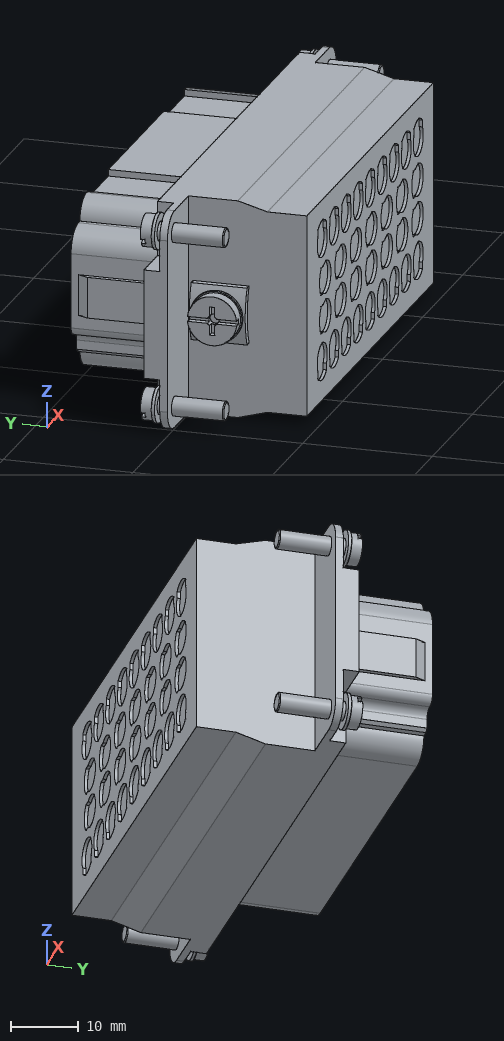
import cadquery as cq
import math


flange_length = 84.5
height = 33.8
flange_corner = 3.55
flange_front = 18.25
flange_back = 21.9
body_length = 63.4
terminal_height = 31.3
taper_start = 6.1
taper_end = 10.65

recess_length = 6.85
recess_height = 8.45
recess_floor = 19.4

block_back = 36.2
block_half_length = 32.45
block_half_height = 13.35
end_round = 3.6
corner_round = 3.4
corner_center_x = 24.7
ledge_x = 24.2
side_drop = 1.0
center_half_length = 13.9
wave_start = -5.2
wave_depth = 2.8
wave_radius = wave_depth / 2
foot_bevel = 0.5

key_height = 6.3
key_reach = 0.8
key_back = 35.0
key_slope = 1.6

pocket_diameter = 5.0
pocket_tab_width = 4.2
pocket_tab_reach = 3.2
pocket_tab_bulge = 0.85
pocket_depth = 0.5
last_pocket_x = 24.0
outer_row_z = 9.2
outer_row_count = 9
outer_row_pitch = 2 * last_pocket_x / (outer_row_count - 1)
inner_row_spacing = 6.0
inner_row_z = inner_row_spacing / 2
inner_row_count = 7
inner_row_pitch = 7.7

screw_x = 38.8
screw_z = 13.5
screw_diameter = 2.95
screw_tip_y = 10.2
screw_tip_chamfer = 0.2
screw_head_diameter = 5.0
screw_head_back = 22.7
screw_washer_diameter = 5.6
washer_thickness = 0.5
screw_washer_front = 20.45
screw_slot_width = 0.85
screw_slot_depth = 0.7
screw_slot_angle = 27.0

ground_y = 12.7
ground_shank_diameter = 4.0
ground_head_diameter = 7.6
ground_head_x = -38.0
ground_washer_diameter = 8.0
ground_washer_x = -36.1
ground_slot_width = 0.8
ground_slot_depth = 1.0
cross_length = 4.4
cross_pit_diameter = 1.6
cross_pit_depth = 1.6

clamp_width = 8.6
clamp_height = 8.9
clamp_thickness = 1.0
clamp_apex_x = -35.4
clamp_sag = 0.9

diagonal = math.sqrt(0.5)


def box(x_range, y_range, z_range):
    """Box spanning the given ranges."""
    spans = [high - low for low, high in (x_range, y_range, z_range)]
    return cq.Workplane("XY").box(*spans, centered=False).translate((x_range[0], y_range[0], z_range[0]))


def rod_y(x, z, diameter, y_start, y_end):
    """Cylinder along Y."""
    plane = cq.Workplane("XZ", origin=(x, y_start, z))
    return plane.circle(diameter / 2).extrude(y_start - y_end)


def rod_x(y, z, diameter, x_start, x_end):
    """Cylinder along X."""
    return cq.Workplane("YZ", origin=(x_start, y, z)).circle(diameter / 2).extrude(x_end - x_start)


def make_housing():
    """Tapered terminal housing with the rounded flange and its corner recesses."""
    lower, upper = terminal_height / 2, height / 2
    body = (
        cq.Workplane("YZ")
        .polyline([
            (0, -lower), (taper_start, -lower), (taper_end, -upper), (flange_back, -upper),
            (flange_back, upper), (taper_end, upper), (taper_start, lower), (0, lower),
        ])
        .close()
        .extrude(body_length / 2, both=True)
    )
    flange = (
        cq.Workplane("XZ", origin=(0, flange_front, 0))
        .rect(flange_length, height)
        .extrude(flange_front - flange_back)
        .edges("|Y")
        .fillet(flange_corner)
    )
    housing = body.union(flange)
    for side in (-1, 1):
        for level in (-1, 1):
            recess = cq.Workplane("XY").box(
                2 * recess_length, 2 * (flange_back - recess_floor), 2 * recess_height
            )
            housing = housing.cut(
                recess.translate((side * flange_length / 2, flange_back, level * height / 2))
            )
    return housing


def make_mating_block():
    """Mating block: stepped rounds on top, a wavy undercut and a round below."""
    end, top = block_half_length, block_half_height
    side_top = top - side_drop
    corner_x = corner_center_x + corner_round
    corner_z = top - corner_round
    end_center = (end - end_round, corner_z - end_round)
    waist_x = end - wave_depth
    wave_mid_z = wave_start - wave_radius
    wave_mid_x = end - wave_radius
    shift = wave_radius * diagonal
    half = (
        cq.Workplane("XZ", origin=(0, flange_back, 0))
        .moveTo(0, top)
        .lineTo(center_half_length, top)
        .lineTo(center_half_length, side_top)
        .lineTo(ledge_x, side_top)
        .lineTo(ledge_x, top)
        .lineTo(corner_center_x, top)
        .threePointArc(
            (corner_center_x + corner_round * diagonal, corner_z + corner_round * diagonal),
            (corner_x, corner_z),
        )
        .lineTo(end_center[0], corner_z)
        .threePointArc(
            (end_center[0] + end_round * diagonal, end_center[1] + end_round * diagonal),
            (end, end_center[1]),
        )
        .lineTo(end, wave_start)
        .threePointArc((wave_mid_x + shift, wave_start - shift), (wave_mid_x, wave_mid_z))
        .threePointArc(
            (wave_mid_x - shift, wave_mid_z - wave_radius + shift),
            (waist_x, wave_mid_z - wave_radius),
        )
        .lineTo(waist_x, foot_bevel - corner_z)
        .lineTo(waist_x - foot_bevel, -corner_z)
        .lineTo(corner_x, -corner_z)
        .threePointArc(
            (corner_center_x + corner_round * diagonal, -corner_z - corner_round * diagonal),
            (corner_center_x, -top),
        )
        .lineTo(0, -top)
        .close()
        .extrude(flange_back - block_back)
    )
    return half.union(half.mirror("YZ"))


def make_keys():
    """One bar through the block whose sloped ends are the two guide keys."""
    base = block_half_length
    tip = base + key_reach
    shoulder = key_back - key_slope
    return (
        cq.Workplane("XY")
        .polyline([
            (-tip, flange_back), (tip, flange_back), (tip, shoulder), (base, key_back),
            (-base, key_back), (-tip, shoulder),
        ])
        .close()
        .extrude(key_height / 2, both=True)
    )


def make_pocket(x, z, tab_angle):
    """Round shallow pocket with a rounded tab pointing along tab_angle."""
    half_tab = pocket_tab_width / 2
    shoulder = pocket_tab_reach - pocket_tab_bulge
    circle = cq.Workplane("XZ").circle(pocket_diameter / 2).extrude(-pocket_depth)
    tab = (
        cq.Workplane("XZ")
        .moveTo(0, -half_tab)
        .lineTo(shoulder, -half_tab)
        .threePointArc((pocket_tab_reach, 0), (shoulder, half_tab))
        .lineTo(0, half_tab)
        .close()
        .extrude(-pocket_depth)
    )
    pocket = circle.union(tab).rotate((0, 0, 0), (0, 1, 0), -tab_angle)
    return pocket.translate((x, 0, z))


def make_pockets():
    """Two outer rows with tabs facing outward, two inner rows with tabs toward -X."""
    pockets = cq.Workplane("XY")
    for level in (-1, 1):
        for i in range(outer_row_count):
            x = last_pocket_x - i * outer_row_pitch
            pockets = pockets.add(make_pocket(x, level * outer_row_z, level * 90))
        for i in range(inner_row_count):
            x = last_pocket_x - i * inner_row_pitch
            pockets = pockets.add(make_pocket(x, level * inner_row_z, 180))
    return pockets


def make_screw(x, z):
    """Slotted mounting screw with its washer."""
    shank = rod_y(x, z, screw_diameter, screw_tip_y, screw_head_back - screw_slot_depth)
    shank = shank.faces("<Y").chamfer(screw_tip_chamfer)
    washer_back = screw_washer_front + washer_thickness
    washer = rod_y(x, z, screw_washer_diameter, screw_washer_front, washer_back)
    head = rod_y(x, z, screw_head_diameter, washer_back, screw_head_back)
    slot = (
        cq.Workplane("XY")
        .box(screw_washer_diameter, 2 * screw_slot_depth, screw_slot_width)
        .rotate((0, 0, 0), (0, 1, 0), -screw_slot_angle)
        .translate((x, screw_head_back, z))
    )
    return shank.union(washer).union(head).cut(slot)


def make_clamp():
    """Plate bowed about Y, its middle nearest the screw head."""
    half = clamp_height / 2
    edge_x = clamp_apex_x + clamp_sag
    return (
        cq.Workplane("XZ", origin=(0, ground_y + clamp_width / 2, 0))
        .moveTo(edge_x, -half)
        .threePointArc((clamp_apex_x, 0), (edge_x, half))
        .lineTo(edge_x + clamp_thickness, half)
        .threePointArc((clamp_apex_x + clamp_thickness, 0), (edge_x + clamp_thickness, -half))
        .close()
        .extrude(clamp_width)
    )


def make_ground_screw():
    """Ground screw with clamp plate, washer and a cross-slotted head."""
    shank = rod_x(ground_y, 0, ground_shank_diameter, ground_washer_x, -body_length / 2)
    washer_end = ground_washer_x + washer_thickness
    washer = rod_x(ground_y, 0, ground_washer_diameter, ground_washer_x, washer_end)
    head = rod_x(ground_y, 0, ground_head_diameter, ground_head_x, ground_washer_x)
    half_slot = ground_slot_width / 2
    half_head = ground_head_diameter / 2
    slot_x = (ground_head_x, ground_head_x + ground_slot_depth)
    slot = box(slot_x, (ground_y - half_head, ground_y + half_head), (-half_slot, half_slot))
    cross = box(
        slot_x, (ground_y - half_slot, ground_y + half_slot), (-cross_length / 2, cross_length / 2)
    )
    pit_floor = ground_head_x + cross_pit_depth
    pit = rod_x(ground_y, 0, cross_pit_diameter, ground_head_x, pit_floor)
    head = head.cut(slot).cut(cross).cut(pit)
    return shank.union(washer).union(head).union(make_clamp())


result = make_housing().union(make_mating_block()).union(make_keys())
for pocket in make_pockets().vals():
    result = result.cut(cq.Workplane(pocket))
for side in (-1, 1):
    for level in (-1, 1):
        result = result.union(make_screw(side * screw_x, level * screw_z))
result = result.union(make_ground_screw())